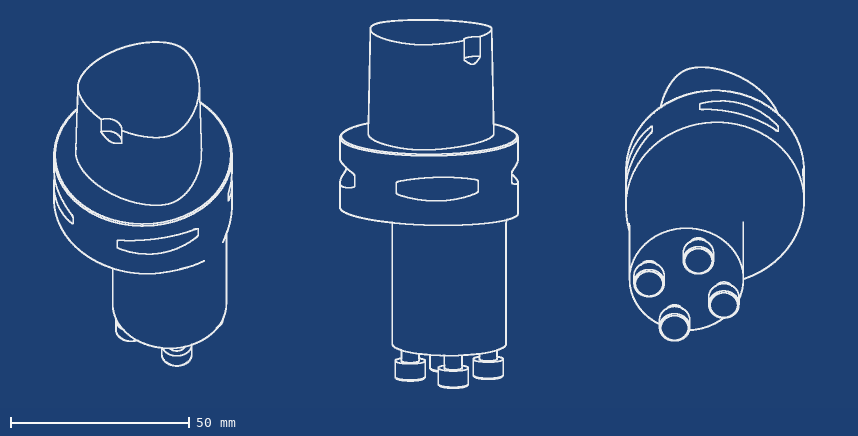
import cadquery as cq
import math

taper_height = 30.0
taper_radius_base = 17.65
taper_radius_top = 17.05
lobe_offset = 1.25
flat_half_angle = 23.7
points_per_side = 9

notch_radius = 4.2
notch_axis_y = -17.9
notch_depth = 5.6
notch_cone_angle = 37.0

flange_diameter = 50.0
flange_chamfer = 0.4
flange_short_side = 20.0

groove_center_z = -9.95
groove_floor_width = 3.5
groove_floor_distance = 22.15
groove_flank_angle = 30.0
groove_fillet = 0.8
groove_first_angle = 45.0
groove_count = 4

body_diameter = 32.0
body_bottom_z = -61.0
underside_angle = 9.2
body_fillet = 4.25

screw_diameter = 5.0
head_diameter = 8.5
head_height = 5.0
head_chamfer = 0.4
screw_bottom_z = -70.59
screw_circle_radius = 11.0
screw_first_angle = 45.0
screw_count = 4

flange_radius = flange_diameter / 2
body_radius = body_diameter / 2
body_axis_x = flange_radius - body_radius


def taper_point(radius, angle):
    """Point of the constant-width outline whose normal is `angle` degrees from -Y."""
    a = math.radians(angle)
    outward = radius * math.cos(a) - 2 * lobe_offset * math.cos(2 * a) + lobe_offset * math.cos(4 * a)
    sideways = radius * math.sin(a) + 2 * lobe_offset * math.sin(2 * a) + lobe_offset * math.sin(4 * a)
    return (sideways, -outward)


def add_taper_side(outline, radius, start_angle, end_angle):
    step = (end_angle - start_angle) / (points_per_side - 1)
    points = [taper_point(radius, start_angle + i * step) for i in range(1, points_per_side)]
    return outline.spline(points, includeCurrent=True)


def taper_outline(workplane, radius):
    """Three flat sides alternating with three lobes."""
    outline = workplane.moveTo(*taper_point(radius, -flat_half_angle))
    for flat_center in (0, 120, 240):
        flat_end = flat_center + flat_half_angle
        lobe_end = flat_center + 120 - flat_half_angle
        outline = add_taper_side(outline, radius, flat_center - flat_half_angle, flat_end)
        outline = add_taper_side(outline, radius, flat_end, lobe_end)
    return outline.close()


def make_taper():
    base = taper_outline(cq.Workplane("XY"), taper_radius_base)
    top_plane = base.workplane(offset=taper_height)
    return taper_outline(top_plane, taper_radius_top).loft(ruled=True)


def make_notch():
    floor_z = taper_height - notch_depth
    tip_z = floor_z - notch_radius * math.tan(math.radians(notch_cone_angle))
    return (
        cq.Workplane("XZ")
        .moveTo(0, tip_z)
        .lineTo(notch_radius, floor_z)
        .lineTo(notch_radius, taper_height)
        .lineTo(0, taper_height)
        .close()
        .revolve(360, (0, 0), (0, 1))
        .translate((0, notch_axis_y, 0))
    )


def make_flange():
    """Disc whose conical, filleted underside is turned about the body axis."""
    reach = flange_radius + body_axis_x
    slope_angle = math.radians(underside_angle)
    corner_z = -flange_short_side - (reach - body_radius) * math.tan(slope_angle)
    fillet_run = body_fillet * math.tan((math.pi / 2 - slope_angle) / 2)
    fillet_bottom_z = corner_z - fillet_run
    fillet_outer_radius = body_radius + fillet_run * math.cos(slope_angle)
    fillet_top_z = corner_z + fillet_run * math.sin(slope_angle)
    turned = (
        cq.Workplane("XZ")
        .lineTo(reach, 0)
        .lineTo(reach, -flange_short_side)
        .lineTo(fillet_outer_radius, fillet_top_z)
        .radiusArc((body_radius, fillet_bottom_z), -body_fillet)
        .lineTo(0, fillet_bottom_z)
        .close()
        .revolve(360, (0, 0), (0, 1))
        .translate((body_axis_x, 0, 0))
    )
    disc = (
        cq.Workplane("XY")
        .circle(flange_radius)
        .extrude(fillet_bottom_z)
        .faces(">Z")
        .chamfer(flange_chamfer)
    )
    return disc.intersect(turned)


def make_body():
    """Cylinder starting inside the flange, above its underside."""
    return (
        cq.Workplane("XY", origin=(body_axis_x, 0, -flange_short_side))
        .circle(body_radius)
        .extrude(body_bottom_z + flange_short_side)
    )


def make_groove():
    """Straight trapezoidal groove along Y, opening toward +X."""
    depth = flange_radius - groove_floor_distance
    floor_half = groove_floor_width / 2
    mouth_half = floor_half + depth * math.tan(math.radians(groove_flank_angle))
    return (
        cq.Workplane("XZ")
        .moveTo(groove_floor_distance, groove_center_z - floor_half)
        .lineTo(flange_radius, groove_center_z - mouth_half)
        .lineTo(flange_radius, groove_center_z + mouth_half)
        .lineTo(groove_floor_distance, groove_center_z + floor_half)
        .close()
        .extrude(flange_radius, both=True)
        .edges("|Y and <X")
        .fillet(groove_fillet)
    )


def make_screw():
    head = (
        cq.Workplane("XY", origin=(0, 0, screw_bottom_z))
        .circle(head_diameter / 2)
        .extrude(head_height)
        .faces("<Z")
        .chamfer(head_chamfer)
    )
    shank_length = body_bottom_z - screw_bottom_z
    shank = cq.Workplane("XY", origin=(0, 0, screw_bottom_z)).circle(screw_diameter / 2).extrude(shank_length)
    return head.union(shank)


result = make_flange().union(make_body()).union(make_taper().cut(make_notch()))

groove = make_groove()
for i in range(groove_count):
    angle = groove_first_angle + i * 360 / groove_count
    result = result.cut(groove.rotate((0, 0, 0), (0, 0, 1), angle))

screw = make_screw()
for i in range(screw_count):
    angle = math.radians(screw_first_angle + i * 360 / screw_count)
    screw_x = body_axis_x + screw_circle_radius * math.cos(angle)
    screw_y = screw_circle_radius * math.sin(angle)
    result = result.union(screw.translate((screw_x, screw_y, 0)))